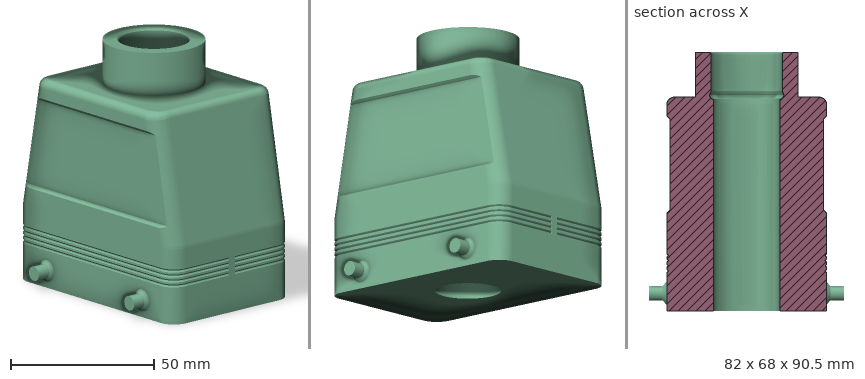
import cadquery as cq
import math

body_length = 82.0
body_width = 56.0
shoulder_height = 27.9
body_height = 74.8
end_taper = 10.8
shoulder_radius = 7.2
corner_radius = 6.1
top_fillet = 2.8

total_height = 90.5
collar_diameter = 36.0
bore_diameter = 24.8
bore_depth = 13.8
bore_chamfer = 0.5
relief_flare = 0.5
relief_height = 1.3
entry_diameter = 23.0

recess_depth = 1.1
recess_bottom = 34.3
recess_top = 68.15

groove_count = 4
groove_depth = 0.5
groove_pitch = 1.8
lowest_groove_height = 14.0
groove_gap = 2.8

pin_span = 68.0
pin_diameter = 5.2
pin_spacing = 50.0
pin_height = 6.15
pin_cone_diameter = 7.9
pin_cone_length = 1.3
pin_embed = 1.1


def make_body():
    """Straight skirt with tapered ends above it, rounded corners and a rounded top rim."""
    taper_run = (body_height - shoulder_height) * math.tan(math.radians(end_taper))
    bottom_half = body_length / 2
    top_half = bottom_half - taper_run
    outline = [
        (-bottom_half, 0),
        (bottom_half, 0),
        (bottom_half, shoulder_height),
        (top_half, body_height),
        (-top_half, body_height),
        (-bottom_half, shoulder_height),
    ]
    hood = cq.Workplane("XZ").polyline(outline).close().extrude(body_width / 2, both=True)
    hood = hood.edges("|Y exc (<Z or >Z)").fillet(shoulder_radius)
    hood = hood.faces("<Y or >Y").edges("not |X").fillet(corner_radius)
    return hood.faces(">Z").edges().fillet(top_fillet)


def make_recess(side):
    """Cutter for the long side at side = -1 or 1, with 45 degree upper and lower walls."""
    outer = side * body_width / 2
    floor = outer - side * recess_depth
    section = [
        (outer, recess_bottom),
        (floor, recess_bottom + recess_depth),
        (floor, recess_top - recess_depth),
        (outer, recess_top),
    ]
    return cq.Workplane("YZ").polyline(section).close().extrude(body_length / 2, both=True)


def skirt_slab(height, thickness, taper=0):
    """Slab with the skirt's rounded outline, starting at height; negative thickness goes down."""
    outline = cq.Sketch().rect(body_length, body_width).vertices().fillet(corner_radius)
    return cq.Workplane("XY", origin=(0, 0, height)).placeSketch(outline).extrude(thickness, taper=taper)


def make_groove(height):
    """Ring cutter with a 90 degree V section centred on height, broken at the two ends."""
    top = height + groove_depth
    bottom = height - groove_depth
    ring = (
        skirt_slab(bottom, 2 * groove_depth)
        .cut(skirt_slab(bottom, groove_depth, taper=45))
        .cut(skirt_slab(top, -groove_depth, taper=45))
    )
    gap = cq.Workplane("XY", origin=(0, 0, height)).box(2 * body_length, groove_gap, 4 * groove_depth)
    return ring.cut(gap)


def make_pin(x, side):
    """Pin with a conical root, standing out of the long side at side = -1 or 1."""
    face = body_width / 2
    root_start = face - pin_embed
    profile = [
        (0, root_start),
        (pin_cone_diameter / 2, root_start),
        (pin_cone_diameter / 2, face),
        (pin_diameter / 2, face + pin_cone_length),
        (pin_diameter / 2, pin_span / 2),
        (0, pin_span / 2),
    ]
    pin = cq.Workplane("XY").polyline(profile).close().revolve(360, (0, 0, 0), (0, 1, 0))
    if side < 0:
        pin = pin.mirror("XZ")
    return pin.translate((x, 0, pin_height))


def make_collar():
    """Cylindrical cable entry on top of the hood."""
    return (
        cq.Workplane("XY", origin=(0, 0, body_height - top_fillet))
        .circle(collar_diameter / 2)
        .extrude(total_height - body_height + top_fillet)
    )


def make_bore():
    """Through hole: chamfered mouth, wide upper bore, flared relief and a dished seat."""
    entry_radius = entry_diameter / 2
    bore_radius = bore_diameter / 2
    relief_radius = bore_radius + relief_flare
    bore_bottom = total_height - bore_depth
    relief_bottom = bore_bottom - relief_height
    seat_radius = relief_radius - entry_radius
    seat_mid = seat_radius * math.sqrt(0.5)
    return (
        cq.Workplane("XZ")
        .lineTo(entry_radius, 0)
        .lineTo(entry_radius, relief_bottom - seat_radius)
        .threePointArc(
            (entry_radius + seat_mid, relief_bottom - seat_mid),
            (relief_radius, relief_bottom),
        )
        .lineTo(bore_radius, bore_bottom)
        .lineTo(bore_radius, total_height - bore_chamfer)
        .lineTo(bore_radius + bore_chamfer, total_height)
        .lineTo(0, total_height)
        .close()
        .revolve(360, (0, 0, 0), (0, 1, 0))
    )


result = make_body().union(make_collar()).cut(make_bore())

for side in (-1, 1):
    result = result.cut(make_recess(side))
    for pin_x in (-pin_spacing / 2, pin_spacing / 2):
        result = result.union(make_pin(pin_x, side))

for i in range(groove_count):
    result = result.cut(make_groove(lowest_groove_height + i * groove_pitch))